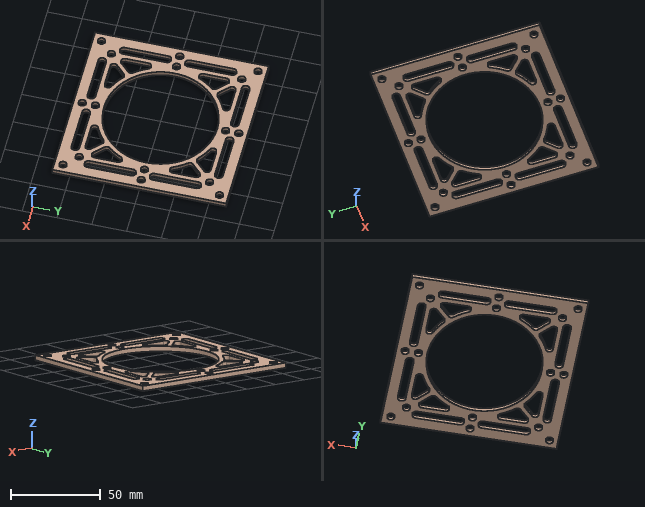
import cadquery as cq
import math

plate_side = 100
plate_thickness = 3
opening_diameter = 65
web = 3

hole_diameter = 4.2
outer_hole_offset = 45
inner_hole_offset = 37.5

slot_width = 4.5
slot_length = 29.5
slot_line = (outer_hole_offset + inner_hole_offset) / 2
slot_middle = inner_hole_offset / 2

pocket_corner_radius = 2
pocket_outer_edge = 36

HALF_SIDES = [(mirrored, turn) for mirrored in (False, True) for turn in (0, 90, 180, 270)]


def make_plate():
    return (
        cq.Workplane("XY")
        .rect(plate_side, plate_side)
        .circle(opening_diameter / 2)
        .extrude(plate_thickness)
    )


def hole_ring(offset):
    """Holes at the corners and side middles of a square centred on the plate."""
    steps = (-offset, 0, offset)
    points = [(x, y) for x in steps for y in steps if (x, y) != (0, 0)]
    return cq.Workplane("XY").pushPoints(points).circle(hole_diameter / 2).extrude(plate_thickness)


def slot():
    return (
        cq.Workplane("XY")
        .center(slot_middle, slot_line)
        .slot2D(slot_length, slot_width)
        .extrude(plate_thickness)
    )


def corner_pocket():
    """Pocket traced through its corner-round centres, then grown by the corner radius."""
    arc_radius = opening_diameter / 2 + web + pocket_corner_radius
    top = pocket_outer_edge - pocket_corner_radius
    diagonal_gap = web / 2 + pocket_corner_radius

    inner_angle = math.pi / 4 + math.asin(diagonal_gap / arc_radius)
    outer_angle = math.asin(top / arc_radius)

    def on_arc(angle):
        return (arc_radius * math.cos(angle), arc_radius * math.sin(angle))

    return (
        cq.Workplane("XY")
        .moveTo(*on_arc(outer_angle))
        .threePointArc(on_arc((outer_angle + inner_angle) / 2), on_arc(inner_angle))
        .lineTo(top - diagonal_gap * math.sqrt(2), top)
        .close()
        .offset2D(pocket_corner_radius, "arc")
        .extrude(plate_thickness)
    )


def around_plate(cutter, mirrored, turn):
    """Copy a cutter from the right half of the +Y side to another half side."""
    if mirrored:
        cutter = cutter.mirror("YZ")
    return cutter.rotate((0, 0, 0), (0, 0, 1), turn)


result = make_plate()
for ring_offset in (outer_hole_offset, inner_hole_offset):
    result = result.cut(hole_ring(ring_offset))
for half_side in HALF_SIDES:
    result = result.cut(around_plate(slot(), *half_side))
    result = result.cut(around_plate(corner_pocket(), *half_side))